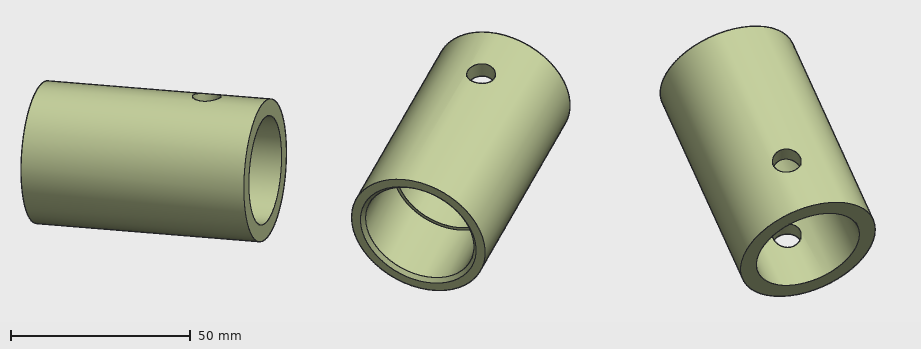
import cadquery as cq

length = 65.0
outer_diameter = 40.0
socket_diameter = 32.4
bore_diameter = 30.55
mouth_chamfer = 1.1

socket_depth = 22.0

cross_hole_diameter = 8.0
cross_hole_x = 48.0


def cylinder_along_x(diameter, cylinder_length):
    """Solid cylinder on the X axis, starting at X = 0."""
    return cq.Workplane("YZ").circle(diameter / 2).extrude(cylinder_length)


def mouth_cone():
    """45 degree lead-in at the open -X end of the socket."""
    socket_radius = socket_diameter / 2
    return (
        cq.Workplane("XY")
        .moveTo(0, 0)
        .lineTo(0, socket_radius + mouth_chamfer)
        .lineTo(mouth_chamfer, socket_radius)
        .lineTo(mouth_chamfer, 0)
        .close()
        .revolve(360, (0, 0, 0), (1, 0, 0))
    )


def cross_hole():
    """Cylinder that pierces the top and bottom walls."""
    return (
        cq.Workplane("XY")
        .center(cross_hole_x, 0)
        .circle(cross_hole_diameter / 2)
        .extrude(outer_diameter / 2, both=True)
    )


result = (
    cylinder_along_x(outer_diameter, length)
    .cut(cylinder_along_x(bore_diameter, length))
    .cut(cylinder_along_x(socket_diameter, socket_depth))
    .cut(mouth_cone())
    .cut(cross_hole())
)